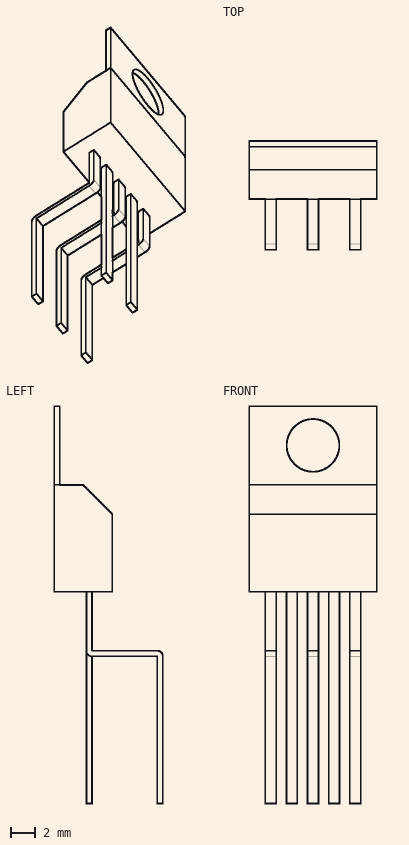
import cadquery as cq


package_width = 10.29
package_depth = 8.78
total_height = 32.03
lead_length = 17.05

case_height = 8.63
case_depth = 4.7
case_bevel = case_depth / 2

tab_thickness = 0.48
tab_top = total_height - lead_length
tab_height = tab_top - case_height
hole_diameter = 4.23
hole_below_top = 3.17

lead_count = 5
lead_pitch = 1.7
lead_width = 0.9
lead_thickness = 0.48
lead_back = -2.6
lead_front = lead_back - lead_thickness
bend_drop = 5.2
bend_radius = lead_thickness
formed_front = -package_depth
formed_back = formed_front + lead_thickness


def extrude_across(profile, width, center_x=0):
    """Extrude a closed YZ profile along X, centred on center_x."""
    return profile.extrude(width / 2, both=True).translate((center_x, 0, 0))


def make_case():
    """Block with its upper front edge cut back at 45 degrees."""
    profile = (
        cq.Workplane("YZ")
        .moveTo(0, 0)
        .lineTo(0, case_height)
        .lineTo(case_bevel - case_depth, case_height)
        .lineTo(-case_depth, case_height - case_bevel)
        .lineTo(-case_depth, 0)
        .close()
    )
    return extrude_across(profile, package_width)


def make_tab():
    """Thin plate standing on the rear of the case, with a through screw hole."""
    plate = cq.Workplane("XY").box(
        package_width, tab_thickness, tab_height, centered=(True, False, False)
    ).translate((0, -tab_thickness, case_height))
    hole = (
        cq.Workplane("XZ")
        .center(0, tab_top - hole_below_top)
        .circle(hole_diameter / 2)
        .extrude(tab_thickness)
    )
    return plate.cut(hole)


def make_straight_lead(center_x):
    """Flat lead running straight down from the case."""
    profile = (
        cq.Workplane("YZ")
        .moveTo(lead_back, 0)
        .lineTo(lead_front, 0)
        .lineTo(lead_front, -lead_length)
        .lineTo(lead_back, -lead_length)
        .close()
    )
    return extrude_across(profile, lead_width, center_x)


def make_formed_lead(center_x):
    """Lead stepped forward: down, out towards -Y, then down again.

    Each bend is sharp inside and rounded outside.
    """
    step_bottom = -bend_drop
    step_top = step_bottom + lead_thickness
    profile = (
        cq.Workplane("YZ")
        .moveTo(lead_back, 0)
        .lineTo(lead_back, step_bottom + bend_radius)
        .radiusArc((lead_back - bend_radius, step_bottom), bend_radius)
        .lineTo(formed_back, step_bottom)
        .lineTo(formed_back, -lead_length)
        .lineTo(formed_front, -lead_length)
        .lineTo(formed_front, step_top - bend_radius)
        .radiusArc((formed_front + bend_radius, step_top), bend_radius)
        .lineTo(lead_front, step_top)
        .lineTo(lead_front, 0)
        .close()
    )
    return extrude_across(profile, lead_width, center_x)


def make_leads():
    """Row of leads, formed and straight in turn, with formed leads at both ends."""
    leads = []
    for index in range(lead_count):
        center_x = (index - (lead_count - 1) / 2) * lead_pitch
        is_formed = index % 2 == 0
        make_lead = make_formed_lead if is_formed else make_straight_lead
        leads.append(make_lead(center_x))
    return leads


case = make_case()
tab = make_tab()
leads = make_leads()

result = cq.Compound.makeCompound([case.val(), tab.val(), *[lead.val() for lead in leads]])